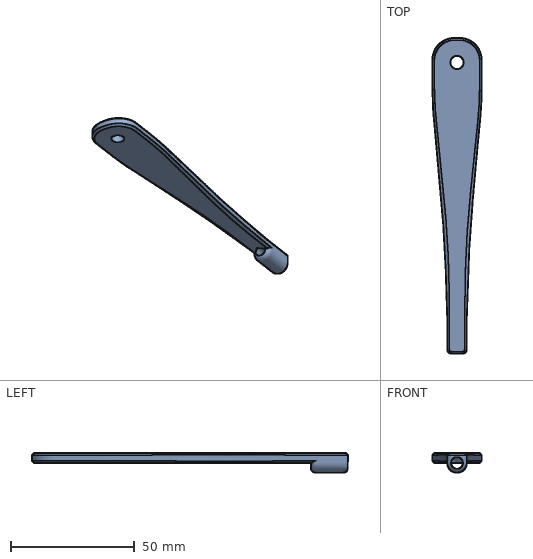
import cadquery as cq

length = 127.5
head_width = 20.0
total_height = 8.0
thickness = 4.1
edge_chamfer = 0.9

head_corner_radius = 9.0
head_straight_end = 20.0
hanging_hole_diameter = 5.2
hanging_hole_inset = 10.0

socket_width = 8.0
socket_length = 15.0
socket_rounding = 2.0
bore_diameter = 4.7

socket_radius = socket_width / 2
axis_z = socket_radius - (total_height - thickness)
taper_start_y = length - head_straight_end

taper_points = [(5.4, 48.5), (6.9, 67.6), (8.5, 85.8)]
tail_flare = 0.03


def make_handle():
    """Flat handle with an S-shaped taper and a rounded head."""
    half_head = head_width / 2
    right_taper = taper_points + [(half_head, taper_start_y)]
    left_taper = [(-x, y) for x, y in reversed(taper_points)]
    left_taper.append((-socket_radius, socket_length))
    toward_head = (0, 1)
    toward_tail = (0, -1)
    tail_slope = (tail_flare, 1)
    tail_slope_mirrored = (tail_flare, -1)
    return (
        cq.Workplane("XY")
        .moveTo(-socket_radius, 0)
        .lineTo(socket_radius, 0)
        .lineTo(socket_radius, socket_length)
        .spline(right_taper, tangents=[tail_slope, toward_head], includeCurrent=True)
        .lineTo(half_head, length)
        .lineTo(-half_head, length)
        .lineTo(-half_head, taper_start_y)
        .spline(left_taper, tangents=[toward_tail, tail_slope_mirrored], includeCurrent=True)
        .close()
        .extrude(thickness)
        .edges("|Z and >Y").fillet(head_corner_radius)
        .edges("|Z and <Y").fillet(socket_rounding)
        .faces("<Z or >Z").chamfer(edge_chamfer)
    )


def make_socket():
    """U-shaped socket under the tail, with rounded ends."""
    wall_top = thickness - edge_chamfer
    socket = (
        cq.Workplane("XZ")
        .moveTo(-socket_radius, wall_top)
        .lineTo(-socket_radius, axis_z)
        .threePointArc((0, axis_z - socket_radius), (socket_radius, axis_z))
        .lineTo(socket_radius, wall_top)
        .close()
        .extrude(-socket_length)
    )
    return socket.faces("<Y or >Y").edges("not >Z").fillet(socket_rounding)


def make_bore():
    """Bore through the socket, ending in a drill-point cone under the handle."""
    bore_radius = bore_diameter / 2
    return (
        cq.Workplane("YZ")
        .moveTo(0, axis_z)
        .lineTo(0, axis_z + bore_radius)
        .lineTo(socket_length, axis_z + bore_radius)
        .lineTo(socket_length + bore_radius, axis_z)
        .close()
        .revolve(360, (0, axis_z, 0), (1, axis_z, 0))
    )


def make_hanging_hole():
    """Round hole through the head."""
    return (
        cq.Workplane("XY")
        .center(0, length - hanging_hole_inset)
        .circle(hanging_hole_diameter / 2)
        .extrude(thickness)
    )


result = make_handle().union(make_socket()).cut(make_bore()).cut(make_hanging_hole())